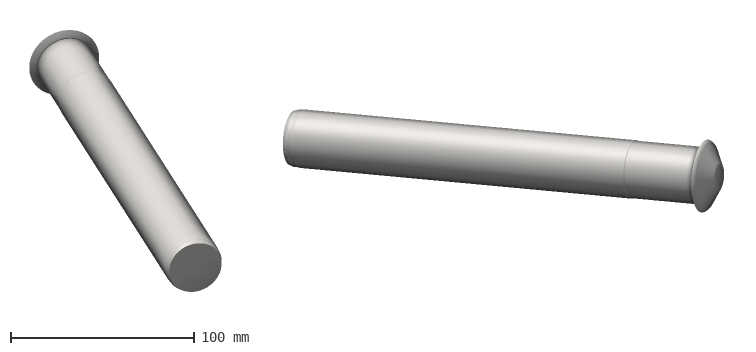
import cadquery as cq

total_length = 250.0
head_diameter = 40.0
shank_diameter = 31.5
sleeve_diameter = 32.0

face_radius = 6.8
cone_start = 0.5
cone_start_radius = 8.2
cone_end = 6.5
cone_end_radius = 18.2
rim_middle = 7.2
rim_middle_radius = 19.2
rim_position = 8.5
head_thickness = 10.5
underside_radius = 16.2
face_round_middle = 0.12
face_round_middle_radius = 7.5

sleeve_start = 49.5
sleeve_end = 245.5
front_bevel_length = 0.5
rear_bevel_length = 1.5

tail_start = 247.8
tail_end_radius = 15.0

shank_radius = shank_diameter / 2
sleeve_radius = sleeve_diameter / 2
head_radius = head_diameter / 2


def make_head():
    """Conical head with a rounded face edge and rim and a sloping underside."""
    profile = (
        cq.Workplane("XY")
        .lineTo(0, face_radius)
        .threePointArc((face_round_middle, face_round_middle_radius), (cone_start, cone_start_radius))
        .lineTo(cone_end, cone_end_radius)
        .threePointArc((rim_middle, rim_middle_radius), (rim_position, head_radius))
        .lineTo(head_thickness, underside_radius)
        .lineTo(head_thickness, 0)
        .close()
    )
    return profile.revolve(360, (0, 0, 0), (1, 0, 0))


def make_shank():
    """Round shank with a slightly tapered tail."""
    profile = (
        cq.Workplane("XY")
        .moveTo(head_thickness, 0)
        .lineTo(head_thickness, shank_radius)
        .lineTo(tail_start, shank_radius)
        .lineTo(total_length, tail_end_radius)
        .lineTo(total_length, 0)
        .close()
    )
    return profile.revolve(360, (0, 0, 0), (1, 0, 0))


def make_sleeve():
    """Thin tube that fits on the shank, bevelled at both ends."""
    profile = (
        cq.Workplane("XY")
        .moveTo(sleeve_start, shank_radius)
        .lineTo(sleeve_start + front_bevel_length, sleeve_radius)
        .lineTo(sleeve_end - rear_bevel_length, sleeve_radius)
        .lineTo(sleeve_end, shank_radius)
        .close()
    )
    return profile.revolve(360, (0, 0, 0), (1, 0, 0))


headed_pin = make_head().union(make_shank())
sleeve = make_sleeve()

result = cq.Compound.makeCompound([headed_pin.val(), sleeve.val()])